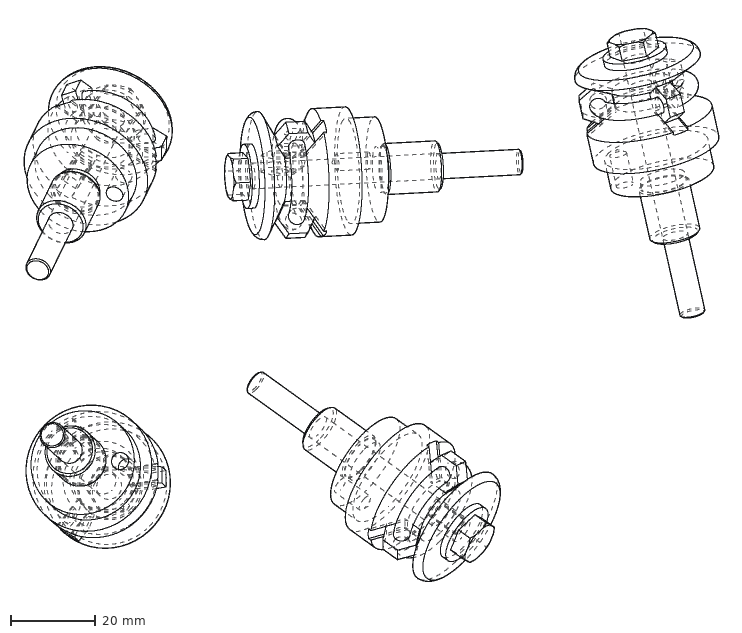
import cadquery as cq
import math


TOTAL_LENGTH = 70.7
BODY_DIAMETER = 30.5
BODY_RADIUS = BODY_DIAMETER / 2
CONE_SLOPE = math.tan(math.radians(30))

JAW_COUNT = 3
JAW_ACROSS_FLATS = 8.0
JAW_THICKNESS = 3.95
JAW_RING_RADIUS = BODY_RADIUS - JAW_ACROSS_FLATS / 2
JAW_HALF_DIAGONAL = JAW_ACROSS_FLATS / math.sqrt(3)
RING_WIRE_RADIUS = 2.0
NECK_RADIUS = JAW_RING_RADIUS - JAW_ACROSS_FLATS / 2

JAW_FLANK_OUTER_Y = JAW_HALF_DIAGONAL + (BODY_RADIUS - JAW_RING_RADIUS) * CONE_SLOPE
JAW_FLANK_INNER_Y = JAW_HALF_DIAGONAL - (JAW_RING_RADIUS - NECK_RADIUS) * CONE_SLOPE

BOLT_BACK_Y = 14.8
BOLT_TIP_Y = BOLT_BACK_Y - TOTAL_LENGTH
HEAD_ACROSS_FLATS = 10.2
HEAD_HEIGHT = 3.95
HEAD_CORNER_TRIM_RADIAL = 0.65
HEAD_CORNER_TRIM_AXIAL = 0.4
FLANGE_RADIUS = 7.65
FLANGE_THICKNESS = 1.7
SHANK_RADIUS = 3.05
SHANK_TIP_CHAMFER = 0.35
HEAD_SEAT_Y = BOLT_BACK_Y - HEAD_HEIGHT
FLANGE_SEAT_Y = HEAD_SEAT_Y - FLANGE_THICKNESS

CONE_CLEARANCE = 0.15
CONE_RIM_Y = JAW_FLANK_OUTER_Y + CONE_CLEARANCE
CONE_NOSE_Y = JAW_FLANK_INNER_Y + CONE_CLEARANCE
RIM_ARC_HEIGHT = FLANGE_SEAT_Y - CONE_RIM_Y
RIM_BACK_RADIUS = 13.9

HOUSING_RIM_Y = -6.15
HOUSING_CONE_TOP_Y = HOUSING_RIM_Y + (BODY_RADIUS - NECK_RADIUS) * CONE_SLOPE
SHOULDER_Y = -14.15
STEP_RADIUS = 12.5
STEP_FACE_Y = -21.15
UNDERCUT_RADIUS = 5.45
SLEEVE_RADIUS = 6.1
SLEEVE_BACK_Y = -22.8
SLEEVE_FRONT_Y = -36.0
SLEEVE_BACK_CHAMFER = 0.35
SLEEVE_FRONT_CHAMFER = 0.6

HOLE_OFFSET_X = 9.05
HOLE_RADIUS = 2.05
HOLE_DEPTH = 7.8
DRILL_POINT_ANGLE = 118


def revolve_about_y(profile):
    """Turn a closed (radius, Y) profile a full turn about the Y axis."""
    return profile.close().revolve(360, (0, 0, 0), (0, 1, 0))


def cylinder(radius, front_y, back_y):
    """Cylinder on the Y axis between two Y positions."""
    return cq.Workplane("XZ", origin=(0, back_y, 0)).circle(radius).extrude(back_y - front_y)


def around_axis(solid):
    """Copies of a solid at the jaw positions, the first one on +X."""
    pitch = 360 / JAW_COUNT
    return [solid.rotate((0, 0, 0), (0, 1, 0), i * pitch) for i in range(JAW_COUNT)]


def make_bolt():
    shank = cylinder(SHANK_RADIUS, BOLT_TIP_Y, HEAD_SEAT_Y).faces("<Y").chamfer(SHANK_TIP_CHAMFER)
    flange = cylinder(FLANGE_RADIUS, FLANGE_SEAT_Y, HEAD_SEAT_Y)

    corner_diameter = 2 * HEAD_ACROSS_FLATS / math.sqrt(3)
    hexagon = (
        cq.Workplane("XZ", origin=(0, BOLT_BACK_Y, 0))
        .polygon(6, corner_diameter)
        .extrude(HEAD_HEIGHT)
    )
    corner_trim = (
        cylinder(corner_diameter / 2, HEAD_SEAT_Y, BOLT_BACK_Y)
        .faces(">Y")
        .chamfer(HEAD_CORNER_TRIM_AXIAL, HEAD_CORNER_TRIM_RADIAL)
    )
    return shank.union(flange).union(hexagon.intersect(corner_trim))


def make_pressure_cone():
    rim_drop = BODY_RADIUS - RIM_BACK_RADIUS
    arc_radius = (RIM_ARC_HEIGHT**2 + rim_drop**2) / (2 * rim_drop)
    half_angle = math.asin(RIM_ARC_HEIGHT / arc_radius) / 2
    arc_middle = (
        BODY_RADIUS - arc_radius * (1 - math.cos(half_angle)),
        CONE_RIM_Y + arc_radius * math.sin(half_angle),
    )
    profile = (
        cq.Workplane("XY")
        .moveTo(SHANK_RADIUS, CONE_NOSE_Y)
        .lineTo(NECK_RADIUS, CONE_NOSE_Y)
        .lineTo(BODY_RADIUS, CONE_RIM_Y)
        .threePointArc(arc_middle, (RIM_BACK_RADIUS, FLANGE_SEAT_Y))
        .lineTo(SHANK_RADIUS, FLANGE_SEAT_Y)
    )
    return revolve_about_y(profile)


def make_jaw_slot():
    """Cutter for one jaw slot: its sloping floor carries the front flank of the jaw."""
    return (
        cq.Workplane("XY")
        .moveTo(NECK_RADIUS, -JAW_FLANK_INNER_Y)
        .lineTo(BODY_RADIUS, -JAW_FLANK_OUTER_Y)
        .lineTo(BODY_RADIUS, 0)
        .lineTo(NECK_RADIUS, 0)
        .close()
        .extrude(JAW_THICKNESS / 2, both=True)
    )


def make_drilled_hole():
    """Blind hole with a drill point, parallel to the axis."""
    point_height = HOLE_RADIUS / math.tan(math.radians(DRILL_POINT_ANGLE / 2))
    bottom_y = STEP_FACE_Y + HOLE_DEPTH
    profile = cq.Workplane("XY").polyline(
        [
            (0, STEP_FACE_Y),
            (HOLE_RADIUS, STEP_FACE_Y),
            (HOLE_RADIUS, bottom_y),
            (0, bottom_y + point_height),
        ]
    )
    return revolve_about_y(profile).translate((HOLE_OFFSET_X, 0, 0))


def make_housing():
    profile = cq.Workplane("XY").polyline(
        [
            (SHANK_RADIUS, CONE_NOSE_Y),
            (NECK_RADIUS, CONE_NOSE_Y),
            (NECK_RADIUS, HOUSING_CONE_TOP_Y),
            (BODY_RADIUS, HOUSING_RIM_Y),
            (BODY_RADIUS, SHOULDER_Y),
            (STEP_RADIUS, SHOULDER_Y),
            (STEP_RADIUS, STEP_FACE_Y),
            (UNDERCUT_RADIUS, STEP_FACE_Y),
            (UNDERCUT_RADIUS, SLEEVE_BACK_Y),
            (SLEEVE_RADIUS - SLEEVE_BACK_CHAMFER, SLEEVE_BACK_Y),
            (SLEEVE_RADIUS, SLEEVE_BACK_Y - SLEEVE_BACK_CHAMFER),
            (SLEEVE_RADIUS, SLEEVE_FRONT_Y + SLEEVE_FRONT_CHAMFER),
            (SLEEVE_RADIUS - SLEEVE_FRONT_CHAMFER, SLEEVE_FRONT_Y),
            (SHANK_RADIUS, SLEEVE_FRONT_Y),
        ]
    )
    housing = revolve_about_y(profile)
    for slot in around_axis(make_jaw_slot()):
        housing = housing.cut(slot)
    return housing.cut(make_drilled_hole())


def make_jaw_ring():
    """Round ring with the jaws fixed on it."""
    ring = (
        cq.Workplane("XY")
        .center(JAW_RING_RADIUS, 0)
        .circle(RING_WIRE_RADIUS)
        .revolve(360, (-JAW_RING_RADIUS, 0, 0), (-JAW_RING_RADIUS, 1, 0))
    )
    jaw = (
        cq.Workplane("XY", origin=(JAW_RING_RADIUS, 0, 0))
        .transformed(rotate=(0, 0, 90))
        .polygon(6, 2 * JAW_HALF_DIAGONAL)
        .extrude(JAW_THICKNESS / 2, both=True)
    )
    for placed_jaw in around_axis(jaw):
        ring = ring.union(placed_jaw)
    return ring


bolt = make_bolt()
pressure_cone = make_pressure_cone()
housing = make_housing()
jaw_ring = make_jaw_ring()

result = cq.Compound.makeCompound(
    [
        bolt.solids().val(),
        pressure_cone.solids().val(),
        housing.solids().val(),
        jaw_ring.solids().val(),
    ]
)